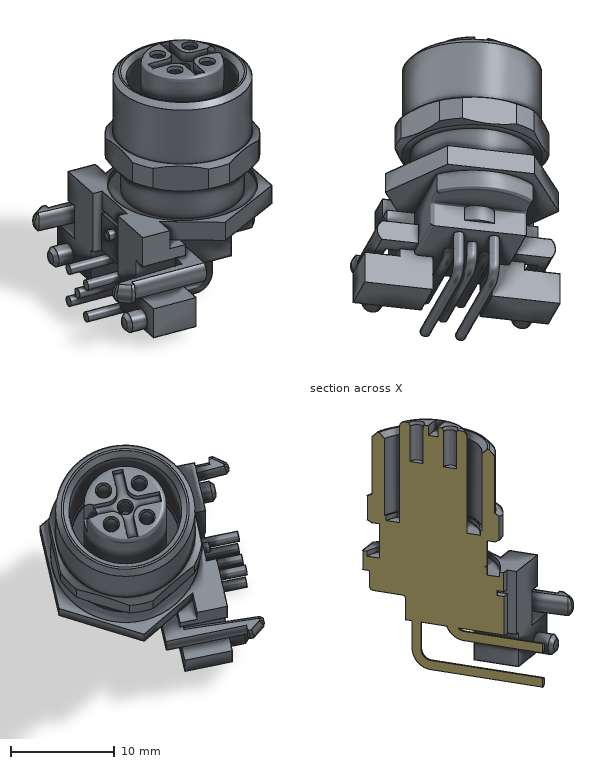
import cadquery as cq
import math


flange_across_flats = 15.0
flange_thickness = 2.0
seal_groove_radius = 7.25
seal_groove_depth = 0.5
neck_radius = 6.0

nut_bottom = 3.0
nut_top = 6.0
nut_across_flats = 14.0
nut_corner_radius = 7.5
nut_chamfer_width = 0.7
nut_chamfer_height = 0.4

sleeve_top = 12.5
sleeve_radius = 6.75
sleeve_chamfer = 0.55
sleeve_bore_radius = 5.45
bore_lead_in = 0.55
bore_shoulder_z = 4.0
bore_floor_radius = 5.28
bore_floor_z = 3.5

insert_radius = 4.0
insert_top = 14.0
insert_rounding = 0.5
cross_groove_width = 1.0
cross_groove_depth = 1.0
cross_corner_radius = 1.1
contact_pitch = 3.54
contact_radius = 0.65
contact_lead_in_width = 0.13
contact_lead_in_depth = 0.35
contact_depth = 4.0
keyway_width = 1.36
keyway_bottom_y = 2.81
keyway_depth = 4.0

body_radius = 7.0
body_width = 9.6
body_upper_bottom = -4.0
body_bottom = -6.5
body_lower_back_y = 2.95
body_rounding = 0.4
body_step_radius = 0.3
center_boss_radius = 3.3
center_boss_bottom = -5.55

housing_front_y = -8.5
housing_back_y = -3.8
housing_top_back_y = -5.5
housing_bottom = -10.0
shoulder_width = 15.1
shoulder_bottom = -3.2
web_width = 12.45
foot_width = 19.5
foot_top = -6.8
foot_gap = 5.9
channel_width = 5.04
panel_front_y = -7.55
panel_thickness = 1.5
panel_top = -2.45

index_pin_z = -3.5
index_pin_radius = 0.5
index_pin_tip_y = -8.4
index_pin_chamfer = 0.1

peg_x = 7.47
peg_z = -9.0
peg_radius = 1.0
peg_length = 2.0
peg_chamfer = 0.4

arm_top = -4.0
arm_bottom = -6.0
arm_bulge = 0.45
trim_overrun = 2.0
arm_back_y = -2.2
arm_bridge_front_y = -4.2
arm_outer_x = 8.9
arm_root_inner_x = 7.15
arm_end_inner_x = 7.57
arm_end_y = -11.7
hook_back_y = -10.2
hook_tip_y = -12.0
hook_tip_x = 8.05
hook_tip_width = 0.4
barb_x = 9.45
barb_back_y = -10.35
barb_front_y = -10.7
ramp_end_x = 8.55
ramp_end_y = -11.87

pin_radius = 0.5
pin_bend_radius = 1.5
pin_tip_y = -11.6
pin_start_z = -5.0
pin_upper_z = -7.22
pin_middle_z = -9.0
pin_lower_z = -10.76

contact_offset = contact_pitch / 2
arm_center_z = (arm_top + arm_bottom) / 2
arm_half_height = (arm_top - arm_bottom) / 2
hex_corner_factor = 2 / math.sqrt(3)

selection_margin = 0.1


def cylinder(radius, bottom, top):
    return cq.Workplane("XY").workplane(offset=bottom).circle(radius).extrude(top - bottom)


def block(width, back_y, front_y, bottom, top):
    """Box that is symmetric about the YZ plane."""
    return (
        cq.Workplane("XY", origin=(0, (back_y + front_y) / 2, bottom))
        .rect(width, back_y - front_y)
        .extrude(top - bottom)
    )


def hexagon(across_flats, bottom, top):
    """Hexagonal prism with corners on the X axis."""
    return (
        cq.Workplane("XY")
        .workplane(offset=bottom)
        .polygon(6, across_flats * hex_corner_factor)
        .extrude(top - bottom)
    )


def rod_along_y(radius, x, z, start_y, end_y):
    """Round rod running towards -Y."""
    return cq.Workplane("XZ", origin=(x, start_y, z)).circle(radius).extrude(start_y - end_y)


def make_flange():
    groove = cylinder(seal_groove_radius, -seal_groove_depth, 0)
    flange = hexagon(flange_across_flats, -flange_thickness, 0).cut(groove)
    return flange.union(cylinder(neck_radius, -flange_thickness, nut_bottom))


def make_nut():
    rim_radius = nut_corner_radius - nut_chamfer_width
    turned_blank = (
        cq.Workplane("XZ")
        .moveTo(0, nut_bottom)
        .lineTo(rim_radius, nut_bottom)
        .lineTo(nut_corner_radius, nut_bottom + nut_chamfer_height)
        .lineTo(nut_corner_radius, nut_top - nut_chamfer_height)
        .lineTo(rim_radius, nut_top)
        .lineTo(0, nut_top)
        .close()
        .revolve(360, (0, 0, 0), (0, 1, 0))
    )
    return hexagon(nut_across_flats, nut_bottom, nut_top).intersect(turned_blank)


def make_sleeve():
    return cylinder(sleeve_radius, nut_top, sleeve_top).faces(">Z").edges().chamfer(sleeve_chamfer)


def make_bore():
    thread_bore = cylinder(sleeve_bore_radius, bore_shoulder_z, sleeve_top)
    floor_bore = cylinder(bore_floor_radius, bore_floor_z, bore_shoulder_z)
    lead_in = (
        cq.Workplane("XY")
        .workplane(offset=sleeve_top)
        .circle(sleeve_bore_radius + bore_lead_in)
        .workplane(offset=-bore_lead_in)
        .circle(sleeve_bore_radius)
        .loft()
    )
    return thread_bore.union(floor_bore).union(lead_in)


def make_contact_hole(x, y, mouth_z):
    hole = cylinder(contact_radius, insert_top - contact_depth, mouth_z)
    lead_in = (
        cq.Workplane("XY")
        .workplane(offset=mouth_z)
        .circle(contact_radius + contact_lead_in_width)
        .workplane(offset=-contact_lead_in_depth)
        .circle(contact_radius)
        .loft()
    )
    return hole.union(lead_in).translate((x, y, 0))


def make_cross_groove():
    length = 2 * (insert_radius - insert_rounding)
    bottom = insert_top - cross_groove_depth
    lengthwise = block(length, cross_groove_width / 2, -cross_groove_width / 2, bottom, insert_top)
    crosswise = block(cross_groove_width, length / 2, -length / 2, bottom, insert_top)
    inner_corner = cross_groove_width / 2 + selection_margin
    corner_box = cq.selectors.BoxSelector(
        (-inner_corner, -inner_corner, bottom),
        (inner_corner, inner_corner, insert_top),
    )
    return lengthwise.union(crosswise).edges("|Z").edges(corner_box).fillet(cross_corner_radius)


def make_keyway():
    bottom = insert_top - keyway_depth
    round_center_y = keyway_bottom_y + keyway_width / 2
    slot = block(keyway_width, insert_radius, round_center_y, bottom, insert_top)
    return slot.union(cylinder(keyway_width / 2, bottom, insert_top).translate((0, round_center_y, 0)))


def make_insert():
    insert = cylinder(insert_radius, bore_floor_z, insert_top).faces(">Z").edges().fillet(insert_rounding)
    insert = insert.cut(make_cross_groove()).cut(make_keyway())
    for x_side in (-1, 1):
        for y_side in (-1, 1):
            hole = make_contact_hole(x_side * contact_offset, y_side * contact_offset, insert_top)
            insert = insert.cut(hole)
    return insert.cut(make_contact_hole(0, 0, insert_top - cross_groove_depth))


def make_body():
    """Stepped core below the flange, with rounded lower edges and a round center boss."""
    upper = cylinder(body_radius, body_upper_bottom, -flange_thickness)
    lower = cylinder(body_radius, body_bottom, -flange_thickness)
    upper = upper.intersect(
        block(body_width, body_radius, housing_back_y, body_upper_bottom, -flange_thickness)
    )
    lower = lower.intersect(
        block(body_width, body_lower_back_y, -body_radius, body_bottom, -flange_thickness)
    )
    core = upper.union(lower)
    inner_step = cq.selectors.NearestToPointSelector((0, body_lower_back_y, body_upper_bottom))
    core = core.edges(inner_step).fillet(body_step_radius)
    front_of_rounding = housing_back_y + body_rounding
    below_flange = cq.selectors.BoxSelector(
        (-body_radius, front_of_rounding, body_bottom - selection_margin),
        (body_radius, body_radius + selection_margin, body_upper_bottom + body_rounding),
    )
    core = core.edges(below_flange).edges("not |X").fillet(body_rounding)
    return core.union(cylinder(center_boss_radius, center_boss_bottom, -flange_thickness))


def make_housing():
    """Shoulders, webs and feet, split by a central channel closed with a panel."""
    shoulders = block(shoulder_width, housing_back_y, housing_front_y, shoulder_bottom, -flange_thickness)
    top = block(shoulder_width, housing_top_back_y, housing_front_y, -flange_thickness, 0)
    web = block(web_width, housing_back_y, housing_front_y, foot_top, shoulder_bottom)
    feet = block(foot_width, housing_back_y, housing_front_y, housing_bottom, foot_top)
    housing = shoulders.union(top).union(web).union(feet)
    channel = block(channel_width, housing_back_y, housing_front_y, housing_bottom, 0)
    feet_gap = block(foot_gap, housing_back_y, housing_front_y, housing_bottom, body_bottom)
    housing = housing.cut(channel).cut(feet_gap)
    housing = housing.cut(cylinder(seal_groove_radius, -seal_groove_depth, 0))
    panel_back_y = panel_front_y + panel_thickness
    return housing.union(block(channel_width, panel_back_y, panel_front_y, body_bottom, panel_top))


def make_peg(x):
    peg = rod_along_y(peg_radius, x, peg_z, housing_front_y, housing_front_y - peg_length)
    return peg.faces("<Y").edges().chamfer(peg_chamfer)


def make_index_pin():
    pin = rod_along_y(index_pin_radius, 0, index_pin_z, panel_front_y, index_pin_tip_y)
    return pin.faces("<Y").edges().chamfer(index_pin_chamfer)


def bulged_slab(points, bulged_edges):
    """Arm-height slab on a clockwise convex outline whose listed sides bulge at mid height."""
    slab = (
        cq.Workplane("XY")
        .workplane(offset=arm_bottom)
        .polyline(points)
        .close()
        .extrude(arm_top - arm_bottom)
    )
    for index in bulged_edges:
        start_x, start_y = points[index]
        end_x, end_y = points[(index + 1) % len(points)]
        length = math.hypot(end_x - start_x, end_y - start_y)
        direction = ((end_x - start_x) / length, (end_y - start_y) / length, 0)
        outward = (-direction[1], direction[0], 0)
        origin = (
            start_x - trim_overrun * direction[0],
            start_y - trim_overrun * direction[1],
            arm_center_z,
        )
        trim = (
            cq.Workplane(cq.Plane(origin=origin, xDir=outward, normal=direction))
            .moveTo(-arm_bulge, arm_half_height)
            .threePointArc((0, 0), (-arm_bulge, -arm_half_height))
            .lineTo(trim_overrun, -arm_half_height)
            .lineTo(trim_overrun, arm_half_height)
            .close()
            .extrude(length + 2 * trim_overrun)
        )
        slab = slab.cut(trim)
    return slab


def make_latch_arm():
    """Springy latch arm on the +X side with a barbed hook at its end."""
    taper = (arm_end_inner_x - arm_root_inner_x) / (arm_bridge_front_y - arm_end_y)
    hook_inner_x = arm_root_inner_x + taper * (arm_bridge_front_y - hook_back_y)
    back_inner_x = arm_root_inner_x - taper * (arm_back_y - arm_bridge_front_y)
    shaft = bulged_slab(
        [
            (back_inner_x, arm_back_y),
            (arm_outer_x, arm_back_y),
            (arm_outer_x, hook_back_y),
            (hook_inner_x, hook_back_y),
        ],
        (1, 3),
    )
    hook = bulged_slab(
        [
            (hook_inner_x, hook_back_y),
            (arm_outer_x, hook_back_y),
            (barb_x, barb_back_y),
            (barb_x, barb_front_y),
            (ramp_end_x, ramp_end_y),
            (hook_tip_x + hook_tip_width / 2, hook_tip_y),
            (hook_tip_x - hook_tip_width / 2, hook_tip_y),
            (arm_end_inner_x, arm_end_y),
        ],
        (2, 3, 4, 5, 6, 7),
    )
    return shaft.union(hook)


def make_latches():
    right_arm = make_latch_arm()
    bridge_width = 2 * (arm_root_inner_x + arm_bulge)
    bridge = block(bridge_width, arm_back_y, arm_bridge_front_y, arm_bottom, arm_top)
    return bridge.union(right_arm).union(right_arm.mirror("YZ"))


def make_bent_pin(x, y, level_z):
    """Pin that drops out of the body, bends and runs towards -Y."""
    bend_z = level_z + pin_bend_radius
    bend_y = y - pin_bend_radius
    bend_reach = pin_bend_radius * math.sqrt(0.5)
    path = (
        cq.Workplane("YZ", origin=(x, 0, 0))
        .moveTo(y, pin_start_z)
        .lineTo(y, bend_z)
        .threePointArc((bend_y + bend_reach, bend_z - bend_reach), (bend_y, level_z))
        .lineTo(pin_tip_y, level_z)
    )
    return cq.Workplane("XY", origin=(x, y, pin_start_z)).circle(pin_radius).sweep(path)


def make_pins():
    pins = make_bent_pin(0, 0, pin_middle_z)
    for x in (-contact_offset, contact_offset):
        pins = pins.union(make_bent_pin(x, -contact_offset, pin_upper_z))
        pins = pins.union(make_bent_pin(x, contact_offset, pin_lower_z))
    return pins


socket = make_flange().union(make_nut()).union(make_sleeve()).cut(make_bore()).union(make_insert())
result = socket.union(make_body()).union(make_housing()).union(make_latches())
for peg_side in (-1, 1):
    result = result.union(make_peg(peg_side * peg_x))
result = result.union(make_index_pin()).union(make_pins())